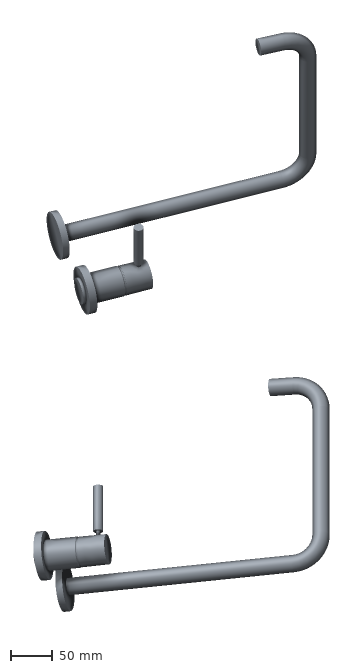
import cadquery as cq
import math

valve_x = 100.0
flange_radius = 30.0

spout_flange_thickness = 8.5
spout_radius = 10.5
spout_reach = 327.2
bend_radius = 34.5
riser_top = 199.5
tip_length = 30.3
tip_tilt = math.radians(2)

valve_flange_thickness = 9.5
body_radius = 19.0
body_length = 40.5
body_chamfer = 1.0
stub_radius = 16.7
stub_back = -13.3

neck_radius = 18.0
neck_length = 1.7

handle_base_radius = 18.7
handle_end_radius = 18.5
handle_end = 76.0

lever_y = 63.7
lever_diameter = 12.3
lever_bottom = 25.0
lever_top = 83.8
pin_radius = 2.7
pin_depth = 6.8


def cylinder_y(x, start, end, radius):
    """Cylinder along Y between two Y positions, centred at the given X and at Z = 0."""
    direction = cq.Vector(0, 1, 0)
    return cq.Workplane(cq.Solid.makeCylinder(radius, end - start, cq.Vector(x, start, 0), direction))


def cylinder_z(bottom, top, radius):
    """Cylinder along Z on the lever axis."""
    origin = cq.Vector(valve_x, lever_y, bottom)
    return cq.Workplane(cq.Solid.makeCylinder(radius, top - bottom, origin))


def make_spout_flange():
    return cylinder_y(0, -spout_flange_thickness, 0, flange_radius)


def make_spout():
    """Round bar swept out from the wall, up the riser and back along the tilted tip."""
    riser_y = spout_reach - spout_radius
    bend_y = riser_y - bend_radius

    def upper_bend_point(angle):
        return (bend_y + bend_radius * math.cos(angle), riser_top + bend_radius * math.sin(angle))

    bend_angle = math.pi / 2 - tip_tilt
    bend_end = upper_bend_point(bend_angle)
    tip_end = (
        bend_end[0] - tip_length * math.cos(tip_tilt),
        bend_end[1] + tip_length * math.sin(tip_tilt),
    )
    path = (
        cq.Workplane("YZ")
        .lineTo(bend_y, 0)
        .tangentArcPoint((riser_y, bend_radius), relative=False)
        .lineTo(riser_y, riser_top)
        .threePointArc(upper_bend_point(bend_angle / 2), bend_end)
        .lineTo(*tip_end)
    )
    return cq.Workplane("XZ").circle(spout_radius).sweep(path)


def make_valve_flange():
    """Flange with a through hole for the valve body's stub."""
    disc = cylinder_y(valve_x, -valve_flange_thickness, 0, flange_radius)
    return disc.cut(cylinder_y(valve_x, -valve_flange_thickness, 0, stub_radius))


def make_valve_body():
    """Valve barrel, chamfered at its free end, with a narrower stub that passes back through the flange."""
    barrel = cylinder_y(valve_x, 0, body_length, body_radius).faces(">Y").chamfer(body_chamfer)
    return barrel.union(cylinder_y(valve_x, stub_back, 0, stub_radius))


def make_neck():
    return cylinder_y(valve_x, body_length, body_length + neck_length, neck_radius)


def make_lever():
    """Lever rod with its pin, which reaches below the handle surface."""
    rod = cylinder_z(lever_bottom, lever_top, lever_diameter / 2)
    return rod.union(cylinder_z(handle_end_radius - pin_depth, lever_bottom, pin_radius))


def make_handle(lever):
    """Tapered handle with a blind hole that matches the lever pin."""
    start = body_length + neck_length
    cone = cq.Solid.makeCone(
        handle_base_radius,
        handle_end_radius,
        handle_end - start,
        cq.Vector(valve_x, start, 0),
        cq.Vector(0, 1, 0),
    )
    return cq.Workplane(cone).cut(lever)


spout_flange = make_spout_flange()
spout = make_spout()
valve_flange = make_valve_flange()
valve_body = make_valve_body()
neck = make_neck()
lever = make_lever()
handle = make_handle(lever)

result = cq.Compound.makeCompound([
    spout_flange.val(),
    spout.val(),
    valve_flange.val(),
    valve_body.val(),
    neck.val(),
    handle.val(),
    lever.val(),
])